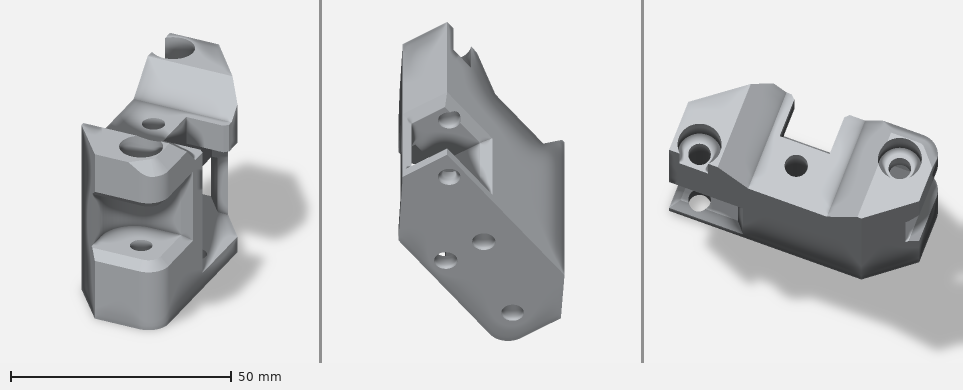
import cadquery as cq
import math

WIDTH, LENGTH, HEIGHT = 24.65, 57.5, 43.0
FRONT_BEVEL_X, FRONT_BEVEL_Y = 8.5, 10.8
BACK_BEVEL_X, BACK_BEVEL_Y = 12.35, 16.1
CORNER_RADIUS = 5.0
BEYOND = 28.75

TROUGH_DEPTH = 7.4
TROUGH_FLOOR = HEIGHT - TROUGH_DEPTH
TROUGH_FLOOR_WIDTH = 19.1
TROUGH_MOUTH_WIDTH = 33.9

TOP_CHAMFER = 3.0
TOP_CHAMFER_SWEEP = math.radians(49)

FLARE = 2.0

FRONT_BOTTOM, FRONT_TOP = 17.15, 31.15
FRONT_LEFT = 6.5
FRONT_DEPTH = 15.9
FRONT_INNER_RADIUS = 8.35

BACK_BOTTOM, BACK_TOP = 4.1, 18.3
BACK_START = 41.6
WEB_TIP_X = 11.2

SIDE_LEFT = 14.3
SIDE_FRONT = 23.9
SIDE_BACK = 49.5
SIDE_TOP = 28.65
SLOT_BACK = 36.05
SLOT_CHAMFER = 1.0

BOLTS = [(3.6, 51.45), (16.5, 7.7)]
BOLT_DIAMETER = 5.1
COUNTERBORE_DIAMETER = 10.0
COUNTERBORE_DEPTH = 6.9
PIN_HOLES = [(8.95, 30.0), (19.5, 30.0)]
PIN_DIAMETER = 5.3


def prism(points, bottom, top):
    """Upright prism over an XY outline."""
    return cq.Workplane("XY").workplane(offset=bottom).polyline(points).close().extrude(top - bottom)


def block(x0, x1, y0, y1, z0, z1):
    """Box given by its limits."""
    return cq.Workplane("XY").box(x1 - x0, y1 - y0, z1 - z0, centered=False).translate((x0, y0, z0))


def rounded_block(bottom, height, taper):
    """Oversized block sharing the right and front faces, with the front right corner rounded."""
    outline = (
        cq.Workplane("XY").workplane(offset=bottom)
        .moveTo(-BEYOND, 0)
        .lineTo(WIDTH - CORNER_RADIUS, 0)
        .radiusArc((WIDTH, CORNER_RADIUS), -CORNER_RADIUS)
        .lineTo(WIDTH, LENGTH + BEYOND)
        .lineTo(-BEYOND, LENGTH + BEYOND)
        .close()
    )
    return outline.extrude(height, taper=taper)


def side_flare(face_x, inward, y0, y1, z0, z1, grow_front, grow_back):
    """Opening in an X face that widens by FLARE towards the face."""
    inner = cq.Workplane("YZ").workplane(offset=face_x + inward * FLARE)
    inner = inner.center((y0 + y1) / 2, (z0 + z1) / 2).rect(y1 - y0, z1 - z0)
    outer = inner.workplane(offset=-inward * FLARE).center((grow_back - grow_front) / 2, 0)
    outer = outer.rect(y1 - y0 + grow_front + grow_back, z1 - z0 + 2 * FLARE)
    return outer.loft(ruled=True)


def body():
    outline = [
        (FRONT_BEVEL_X, 0),
        (WIDTH, 0),
        (WIDTH, LENGTH - BACK_BEVEL_Y),
        (WIDTH - BACK_BEVEL_X, LENGTH),
        (0, LENGTH),
        (0, FRONT_BEVEL_Y),
    ]
    return prism(outline, 0, HEIGHT).intersect(rounded_block(0, HEIGHT, 0))


def trough():
    middle = LENGTH / 2
    section = [
        (middle - TROUGH_MOUTH_WIDTH / 2, HEIGHT),
        (middle - TROUGH_FLOOR_WIDTH / 2, TROUGH_FLOOR),
        (middle + TROUGH_FLOOR_WIDTH / 2, TROUGH_FLOOR),
        (middle + TROUGH_MOUTH_WIDTH / 2, HEIGHT),
    ]
    return cq.Workplane("YZ").polyline(section).close().extrude(WIDTH)


def top_chamfer():
    """Layer under the top face minus a 45 degree frustum: flat, cone, then an oblique flat."""
    base = HEIGHT - TOP_CHAMFER
    centre_x, centre_y = WIDTH - CORNER_RADIUS, CORNER_RADIUS

    def on_corner(angle):
        return (centre_x + CORNER_RADIUS * math.cos(angle), centre_y - CORNER_RADIUS * math.sin(angle))

    arc_end = on_corner(TOP_CHAMFER_SWEEP)
    run = 2 * LENGTH
    oblique_end = (
        arc_end[0] - run * math.sin(TOP_CHAMFER_SWEEP),
        arc_end[1] - run * math.cos(TOP_CHAMFER_SWEEP),
    )
    frustum = (
        cq.Workplane("XY").workplane(offset=base)
        .moveTo(WIDTH, LENGTH + BEYOND)
        .lineTo(WIDTH, CORNER_RADIUS)
        .threePointArc(on_corner(TOP_CHAMFER_SWEEP / 2), arc_end)
        .lineTo(*oblique_end)
        .lineTo(oblique_end[0], LENGTH + BEYOND)
        .close()
        .extrude(TOP_CHAMFER, taper=45)
    )
    return block(0, WIDTH, 0, LENGTH, base, HEIGHT).cut(frustum)


def front_pocket():
    """Cut through the front right corner, flared along the front and right faces."""
    right, front = WIDTH + BEYOND, -BEYOND

    def layer(bottom, top):
        cutter = block(FRONT_LEFT, right, front, FRONT_DEPTH, bottom, top)
        corner = cutter.edges("|Z").edges("<X").edges(">Y")
        return corner.fillet(FRONT_INNER_RADIUS)

    upper_lip = layer(FRONT_TOP, FRONT_TOP + FLARE)
    frustum = rounded_block(FRONT_TOP + FLARE, -FLARE, 45)
    upper_lip = upper_lip.cut(frustum)
    middle = (FRONT_BOTTOM + FRONT_TOP) / 2
    lower_lip = upper_lip.mirror("XY", (0, 0, middle))
    end_flare = side_flare(WIDTH, -1, CORNER_RADIUS, FRONT_DEPTH, FRONT_BOTTOM, FRONT_TOP, 0, FLARE)
    return layer(FRONT_BOTTOM, FRONT_TOP).union(upper_lip).union(lower_lip).union(end_flare)


def back_pocket():
    """Window in the left and back faces, closed on the right by a web along the back bevel."""
    tip_y = LENGTH - FLARE
    web_slope = BACK_BEVEL_X / BACK_BEVEL_Y
    web_end_x = WEB_TIP_X + (tip_y - SIDE_BACK) * web_slope
    corner_x = WIDTH - BACK_BEVEL_X
    outline = [
        (0, BACK_START),
        (web_end_x, BACK_START),
        (web_end_x, SIDE_BACK),
        (WEB_TIP_X, tip_y),
        (corner_x, LENGTH),
        (0, LENGTH),
    ]
    window = prism(outline, BACK_BOTTOM, BACK_TOP)
    left_flare = side_flare(0, 1, BACK_START, LENGTH, BACK_BOTTOM, BACK_TOP, FLARE, 0)
    section = [
        (tip_y, BACK_BOTTOM),
        (LENGTH, BACK_BOTTOM - FLARE),
        (LENGTH, BACK_TOP + FLARE),
        (tip_y, BACK_TOP),
    ]
    back_flare = cq.Workplane("YZ").polyline(section).close().extrude(corner_x)
    back_flare = back_flare.intersect(prism(outline, 0, HEIGHT))
    return window.union(left_flare).union(back_flare)


def side_pocket():
    """Pocket open to the right, reaching the back pocket, with a slot up into the trough."""
    cavity = block(SIDE_LEFT, WIDTH, SIDE_FRONT, SIDE_BACK, BACK_BOTTOM, SIDE_TOP)
    chamfer_x = WIDTH - SLOT_CHAMFER
    slot = [
        (SIDE_LEFT, SIDE_FRONT),
        (chamfer_x, SIDE_FRONT),
        (WIDTH, SIDE_FRONT - SLOT_CHAMFER),
        (WIDTH, SLOT_BACK + SLOT_CHAMFER),
        (chamfer_x, SLOT_BACK),
        (SIDE_LEFT, SLOT_BACK),
    ]
    return cavity.union(prism(slot, BACK_BOTTOM, TROUGH_FLOOR))


def holes(centres, diameter, bottom):
    """Vertical cylinders from the given level up to the top."""
    circles = cq.Workplane("XY").workplane(offset=bottom).pushPoints(centres).circle(diameter / 2)
    return circles.extrude(HEIGHT - bottom)


result = (
    body()
    .cut(trough())
    .cut(top_chamfer())
    .cut(front_pocket())
    .cut(back_pocket())
    .cut(side_pocket())
    .cut(holes(BOLTS, BOLT_DIAMETER, 0))
    .cut(holes(BOLTS, COUNTERBORE_DIAMETER, HEIGHT - COUNTERBORE_DEPTH))
    .cut(holes(PIN_HOLES, PIN_DIAMETER, 0))
)